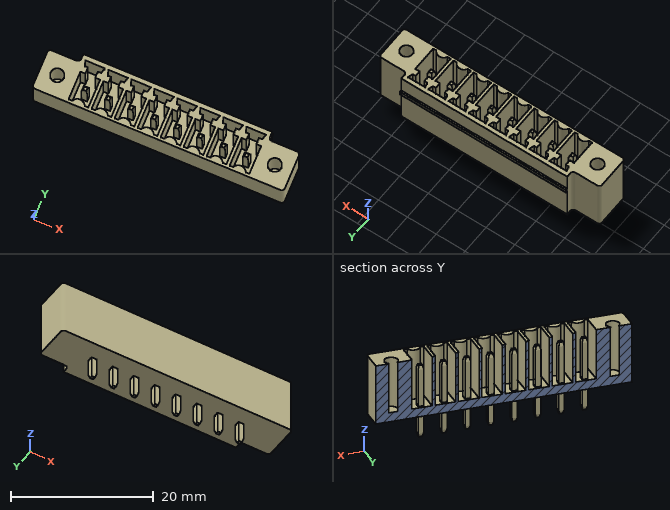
import cadquery as cq

PIN_COUNT = 8
PITCH = 3.5

LENGTH = 38.3
EAR_DEPTH = 6.0
BACK_LENGTH = 28.75
BODY_DEPTH = 7.25
HEIGHT = 9.2
CORNER_RADIUS = 0.5
FRONT_Y = -EAR_DEPTH / 2
EAR_BACK_Y = FRONT_Y + EAR_DEPTH
BACK_Y = FRONT_Y + BODY_DEPTH

RIDGE_DEPTH = 0.3
RIDGE_HEIGHT = 0.6
RIDGE_BOTTOM_Z = 5.7

FLOOR_THICKNESS = 1.5
CAVITY_WIDTH = 3.0
FRONT_WALL = 0.45
BACK_WALL = 0.75
THROAT_WIDTH = 1.5
THROAT_LENGTH = 0.95
DOVETAIL_NECK_WIDTH = 2.5
DOVETAIL_LENGTH = 0.8
CODING_RIB_RADIUS = 1.05

INSERT_SPACING = 33.1
INSERT_DIAMETER = 4.0
INSERT_HOLE_DIAMETER = 2.0
INSERT_HOLE_DEPTH = HEIGHT - FLOOR_THICKNESS

PIN_WIDTH = 0.85
PIN_TIP_WIDTH = 0.5
PIN_TIP_LENGTH = 0.6
PIN_BOTTOM_Z = -3.4
PIN_TOP_Z = 7.85

pin_positions = [(i - (PIN_COUNT - 1) / 2) * PITCH for i in range(PIN_COUNT)]


def plate(length, y_min, y_max, z_min, height):
    """Rectangular block centred on X = 0."""
    block = cq.Workplane("XY").box(length, y_max - y_min, height, centered=(True, False, False))
    return block.translate((0, y_min, z_min))


def make_housing():
    """Block with two ears; the ear corners and the inner steps are rounded."""
    ears = plate(LENGTH, FRONT_Y, EAR_BACK_Y, 0, HEIGHT)
    middle = plate(BACK_LENGTH, FRONT_Y, BACK_Y, 0, HEIGHT)
    housing = ears.union(middle).edges("|Z").edges("not(>Y)").fillet(CORNER_RADIUS)
    ridge = plate(BACK_LENGTH, BACK_Y, BACK_Y + RIDGE_DEPTH, RIDGE_BOTTOM_Z, RIDGE_HEIGHT)
    return housing.union(ridge)


def make_cavity(x):
    """Keyed pocket: wide chamber, narrow throat and dovetail, with a round coding rib in front."""
    front_y = FRONT_Y + FRONT_WALL
    dovetail_back_y = BACK_Y - BACK_WALL
    dovetail_neck_y = dovetail_back_y - DOVETAIL_LENGTH
    chamber_back_y = dovetail_neck_y - THROAT_LENGTH
    right_side = [
        (CAVITY_WIDTH / 2, front_y),
        (CAVITY_WIDTH / 2, chamber_back_y),
        (THROAT_WIDTH / 2, chamber_back_y),
        (THROAT_WIDTH / 2, dovetail_neck_y),
        (DOVETAIL_NECK_WIDTH / 2, dovetail_neck_y),
        (CAVITY_WIDTH / 2, dovetail_back_y),
    ]
    left_side = [(-px, py) for px, py in reversed(right_side)]
    depth = HEIGHT - FLOOR_THICKNESS
    floor = cq.Workplane("XY").workplane(offset=FLOOR_THICKNESS)
    pocket = floor.polyline(right_side + left_side).close().extrude(depth)
    rib = floor.center(0, FRONT_Y).circle(CODING_RIB_RADIUS).extrude(depth)
    return pocket.cut(rib).translate((x, 0, 0))


def make_pin(x):
    """Square pin with a tapered tip at each end."""
    shank_bottom_z = PIN_BOTTOM_Z + PIN_TIP_LENGTH
    shank_top_z = PIN_TOP_Z - PIN_TIP_LENGTH
    shank_length = shank_top_z - shank_bottom_z
    pin = plate(PIN_WIDTH, -PIN_WIDTH / 2, PIN_WIDTH / 2, shank_bottom_z, shank_length)
    for end_z, direction in ((shank_top_z, 1), (shank_bottom_z, -1)):
        tip = (
            cq.Workplane("XY", origin=(0, 0, end_z))
            .rect(PIN_WIDTH, PIN_WIDTH)
            .workplane(offset=direction * PIN_TIP_LENGTH)
            .rect(PIN_TIP_WIDTH, PIN_TIP_WIDTH)
            .loft()
        )
        pin = pin.union(tip)
    return pin.translate((x, 0, 0))


def make_insert(x):
    """Round sleeve with a blind hole from the top, flush with both faces of the ear."""
    sleeve = cq.Workplane("XY").circle(INSERT_DIAMETER / 2).extrude(HEIGHT)
    hole_bottom = cq.Workplane("XY").workplane(offset=HEIGHT - INSERT_HOLE_DEPTH)
    hole = hole_bottom.circle(INSERT_HOLE_DIAMETER / 2).extrude(INSERT_HOLE_DEPTH)
    return sleeve.cut(hole).translate((x, 0, 0))


result = make_housing()
for pin_x in pin_positions:
    result = result.cut(make_cavity(pin_x)).union(make_pin(pin_x))

for insert_x in (-INSERT_SPACING / 2, INSERT_SPACING / 2):
    insert_bore = cq.Workplane("XY").center(insert_x, 0).circle(INSERT_DIAMETER / 2).extrude(HEIGHT)
    result = result.cut(insert_bore, clean=False).union(make_insert(insert_x), clean=False)